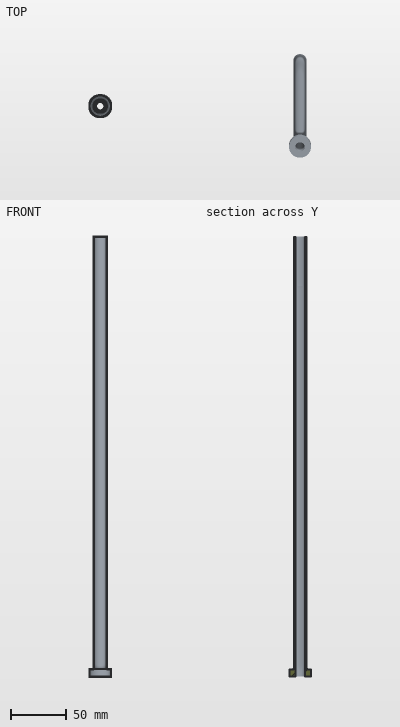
import cadquery as cq

TOTAL_LENGTH = 400.0
HEAD_DIAMETER = 20.0
HEAD_HEIGHT = 7.0
SHANK_DIAMETER = 12.0
NECK_FILLET = 0.8
BORE_DIAMETER = 8.0
GUIDE_LENGTH = 45.0
RELIEF_CLEARANCE = 0.5

RELIEF_DIAMETER = BORE_DIAMETER + RELIEF_CLEARANCE
RELIEF_DEPTH = TOTAL_LENGTH - GUIDE_LENGTH


def cylinder(diameter, height):
    """Upright cylinder standing on the XY plane, centred on the Z axis."""
    return cq.Workplane("XY").circle(diameter / 2).extrude(height)


def make_body():
    """Long round shank rising from a round head, with a concave radius in the neck corner."""
    body = cylinder(HEAD_DIAMETER, HEAD_HEIGHT).union(cylinder(SHANK_DIAMETER, TOTAL_LENGTH))
    head_top = body.faces("|Z").faces("<<Z[1]")
    neck_edge = head_top.edges(cq.selectors.RadiusNthSelector(0))
    return neck_edge.fillet(NECK_FILLET)


def cut_bore(body):
    """Through bore on the axis, slightly wider from the head up to the guide stretch."""
    guide = cylinder(BORE_DIAMETER, TOTAL_LENGTH)
    relief = cylinder(RELIEF_DIAMETER, RELIEF_DEPTH)
    return body.cut(guide).cut(relief)


result = cut_bore(make_body())